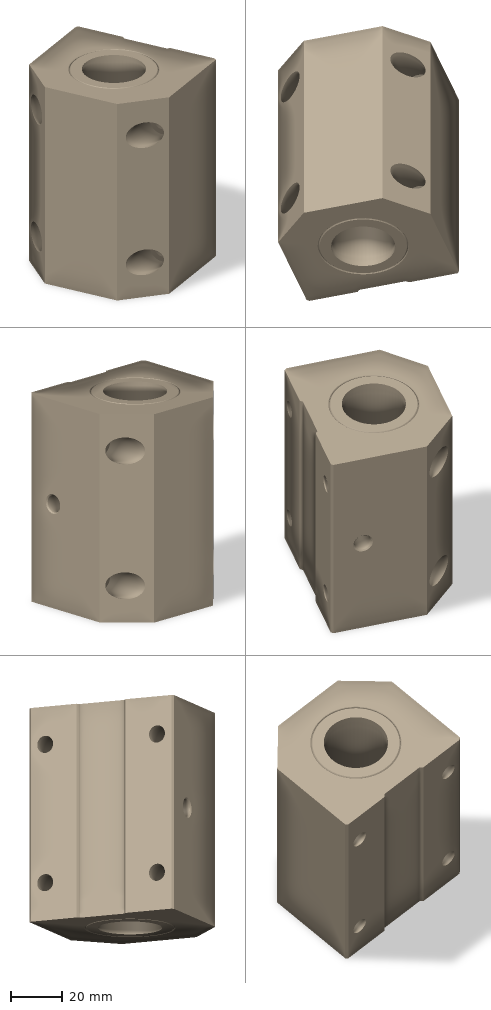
import cadquery as cq

width = 62.0
depth = 54.0
height = 85.0
back_y = depth / 2
front_y = back_y - depth
front_chamfer = 15.0
back_chamfer = 0.85

channel_floor_width = 18.9
channel_depth = 1.0

bushing_bore_diameter = 25.0
bushing_diameter = 35.0
bushing_length = height / 2
bushing_chamfer = 0.5
bore_mouth_chamfer = 0.25

screw_diameter = 6.8
counterbore_diameter = 11.0
screw_spacing_x = 47.9
screw_spacing_z = 55.0
counterbore_floor_y = -5.1

lube_y = 14.0
lube_diameter = 7.0
lube_mouth_diameter = 8.0
lube_depth = 10.2
lube_tip_length = 2.0


def make_block():
    half_width = width / 2
    half_floor = channel_floor_width / 2
    half_mouth = half_floor + channel_depth
    right_side = [
        (half_floor, back_y - channel_depth),
        (half_mouth, back_y),
        (half_width - back_chamfer, back_y),
        (half_width, back_y - back_chamfer),
        (half_width, front_y + front_chamfer),
        (half_width - front_chamfer, front_y),
    ]
    left_side = [(-x, y) for x, y in reversed(right_side)]
    return (
        cq.Workplane("XY")
        .workplane(offset=-height / 2)
        .polyline(right_side + left_side)
        .close()
        .extrude(height)
    )


def make_bore_cutter():
    """Straight bore with a small chamfer at each mouth, as a revolved profile."""
    radius = bushing_diameter / 2
    mouth_radius = radius + bore_mouth_chamfer
    end_z = height / 2
    shoulder_z = end_z - bore_mouth_chamfer
    profile = [
        (0, -end_z),
        (mouth_radius, -end_z),
        (radius, -shoulder_z),
        (radius, shoulder_z),
        (mouth_radius, end_z),
        (0, end_z),
    ]
    return cq.Workplane("XZ").polyline(profile).close().revolve(360, (0, 0), (0, 1))


def make_screw_cutters():
    """Through holes with counterbores open to the sloping front faces."""
    def cylinders(diameter, start_y, end_y):
        return (
            cq.Workplane("XZ", origin=(0, start_y, 0))
            .rarray(screw_spacing_x, screw_spacing_z, 2, 2)
            .circle(diameter / 2)
            .extrude(start_y - end_y)
        )

    through_holes = cylinders(screw_diameter, back_y, front_y)
    counterbores = cylinders(counterbore_diameter, counterbore_floor_y, front_y)
    return through_holes, counterbores


def make_lube_cutter():
    """Blind drilled hole along +X, as a profile revolved about its own axis."""
    radius = lube_diameter / 2
    mouth_radius = lube_mouth_diameter / 2
    face_x = -width / 2
    straight_end_x = face_x + lube_depth
    profile = [
        (face_x, 0),
        (face_x, mouth_radius),
        (face_x + mouth_radius - radius, radius),
        (straight_end_x, radius),
        (straight_end_x + lube_tip_length, 0),
    ]
    return (
        cq.Workplane("XY", origin=(0, lube_y, 0))
        .polyline(profile)
        .close()
        .revolve(360, (0, 0), (1, 0))
    )


def make_housing():
    housing = make_block().cut(make_bore_cutter())
    for cutter in make_screw_cutters():
        housing = housing.cut(cutter)
    return housing.cut(make_lube_cutter())


def make_bushing(bottom_z):
    return (
        cq.Workplane("XY", origin=(0, 0, bottom_z))
        .circle(bushing_diameter / 2)
        .extrude(bushing_length)
        .edges("%CIRCLE")
        .chamfer(bushing_chamfer)
        .faces(">Z")
        .workplane()
        .hole(bushing_bore_diameter)
    )


housing = make_housing()
bushings = [make_bushing(bottom_z) for bottom_z in (-bushing_length, 0)]

result = cq.Compound.makeCompound([housing.val(), *[bushing.val() for bushing in bushings]])